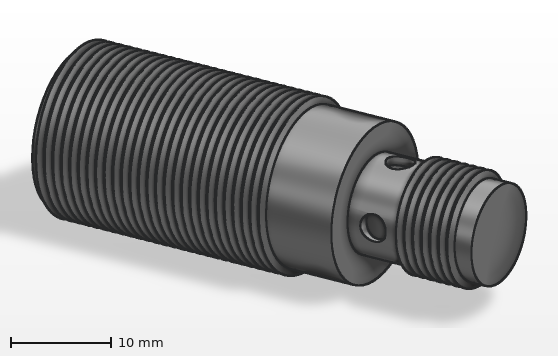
import cadquery as cq

total_length = 49.5
barrel_start = 0.15
barrel_end = 35.05

barrel_radius = 8.4
barrel_crest_radius = 9.15
barrel_first_crest = 0.55
barrel_thread_length = 27.0
barrel_turns = 27
barrel_lead_in_turns = 0.08

connector_radius = 5.3
connector_crest_radius = 6.05
connector_first_crest = 40.65
connector_thread_length = 7.0
connector_turns = 7

thread_base_width = 0.85
thread_sunk_depth = 0.075

window_x = 38.05
window_radius = 1.5
window_depth = 0.95
window_count = 4


def cylinder_x(radius, start, end):
    """Cylinder along X between two stations."""
    return cq.Workplane("YZ", origin=(start, 0, 0)).circle(radius).extrude(end - start)


def thread(root_radius, crest_radius, first_crest, length, turns, lead_in_turns=0.0):
    """Right-handed V-thread about X; without a lead-in it starts on the +Y side."""
    pitch = length / turns
    lead_in = lead_in_turns * pitch
    sunk_radius = root_radius - thread_sunk_depth
    flank_slope = thread_base_width / 2 / (crest_radius - root_radius)
    half_base = flank_slope * (crest_radius - sunk_radius)

    helix = cq.Wire.makeHelix(pitch, length + lead_in, root_radius)
    profile = (
        cq.Workplane("XZ")
        .moveTo(sunk_radius, -half_base)
        .lineTo(crest_radius, 0)
        .lineTo(sunk_radius, half_base)
        .close()
    )
    ridge = profile.sweep(cq.Workplane(obj=helix), isFrenet=True)
    ridge = ridge.rotate((0, 0, 0), (1, 1, 1), 120)
    ridge = ridge.rotate((0, 0, 0), (1, 0, 0), -360 * lead_in_turns)
    return ridge.translate((first_crest - lead_in, 0, 0))


def make_barrel():
    """Solid sensor barrel with its long outside thread."""
    barrel = cylinder_x(barrel_radius, barrel_start, barrel_end)
    ridge = thread(
        barrel_radius,
        barrel_crest_radius,
        barrel_first_crest,
        barrel_thread_length,
        barrel_turns,
        barrel_lead_in_turns,
    )
    return barrel.union(ridge)


def make_window(index):
    """Blind radial window whose floor is curved; the floors alternate between two directions."""
    floor_radius = connector_radius - window_depth
    drill = cq.Workplane("XY", origin=(window_x, 0, 0)).circle(window_radius).extrude(connector_crest_radius)
    if index % 2 == 0:
        floor = cylinder_x(floor_radius, barrel_end, total_length)
    else:
        floor = (
            cq.Workplane("XZ", origin=(window_x, 0, 0))
            .circle(floor_radius)
            .extrude(connector_radius, both=True)
        )
    return drill.cut(floor).rotate((0, 0, 0), (1, 0, 0), index * 360 / window_count)


def make_connector():
    """Plug connector: neck with four windows, a short thread and a plain end."""
    connector = cylinder_x(connector_radius, barrel_end, total_length)
    for index in range(window_count):
        connector = connector.cut(make_window(index))
    ridge = thread(
        connector_radius,
        connector_crest_radius,
        connector_first_crest,
        connector_thread_length,
        connector_turns,
    )
    return connector.union(ridge)


barrel = make_barrel()
connector = make_connector()
result = cq.Compound.makeCompound([barrel.solids().val(), connector.solids().val()])